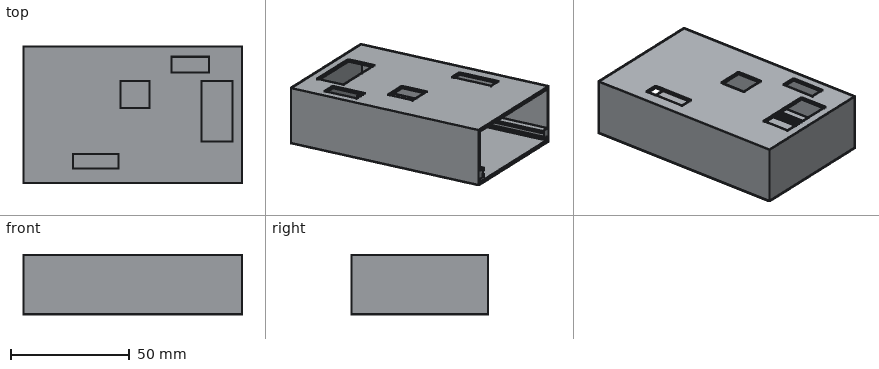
import cadquery as cq

length = 92.0
width = 57.5
height = 25.0
wall = 1.0

left_rail_reach = 3.5
right_rail_reach = 4.0
rail_height = 3.9
rail_gap = 1.5
groove_depth = 0.9
groove_height = 1.9

windows = [
    (24.2, 21.1, 15.6, 6.8),
    (1.0, 8.5, 12.1, 11.5),
    (35.4, 1.4, 12.9, 25.5),
    (-15.5, -19.7, 19.1, 6.1),
]

cavity_length = length - wall
cavity_width = width - 2 * wall
cavity_height = height - 2 * wall
cavity_center_x = -wall / 2
rail_center_z = -cavity_height / 2 + rail_gap + rail_height / 2


def make_shell():
    outer = cq.Workplane("XY").box(length, width, height)
    cavity = cq.Workplane("XY").box(cavity_length, cavity_width, cavity_height)
    return outer.cut(cavity.translate((cavity_center_x, 0, 0)))


def make_rail(side, rail_reach):
    """Grooved rail on the side wall at +Y (side = 1) or -Y (side = -1)."""
    bar_depth = rail_reach + wall
    bar_y = side * (width / 2 - bar_depth / 2)
    groove_y = side * (cavity_width / 2 - rail_reach + groove_depth / 2)
    bar = cq.Workplane("XY").box(cavity_length, bar_depth, rail_height)
    groove = cq.Workplane("XY").box(cavity_length, groove_depth, groove_height)
    rail = bar.translate((0, bar_y, 0)).cut(groove.translate((0, groove_y, 0)))
    return rail.translate((cavity_center_x, 0, rail_center_z))


def make_window(center_x, center_y, size_x, size_y):
    """Cutter that passes through the top wall only."""
    cutter = cq.Workplane("XY").box(size_x, size_y, wall)
    return cutter.translate((center_x, center_y, height / 2 - wall / 2))


result = make_shell()
result = result.union(make_rail(1, left_rail_reach))
result = result.union(make_rail(-1, right_rail_reach))
for window in windows:
    result = result.cut(make_window(*window))